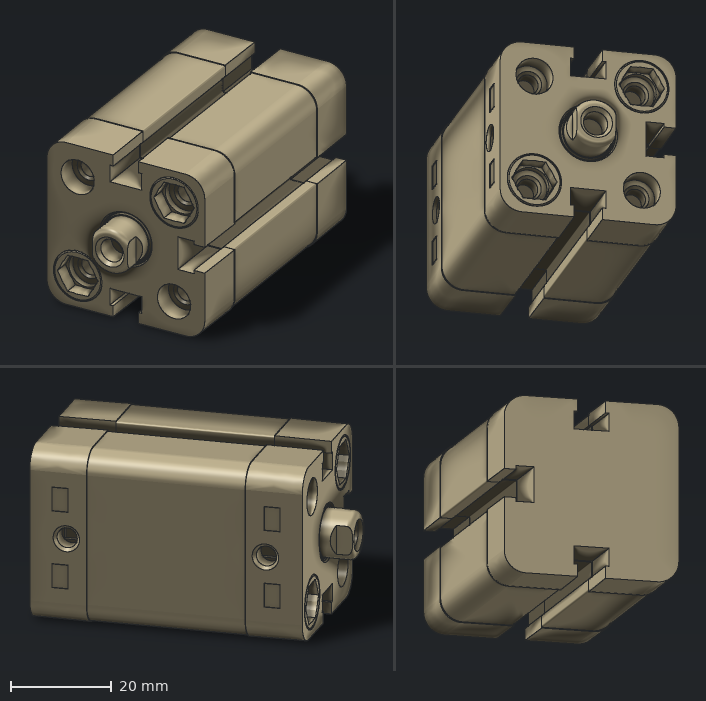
import cadquery as cq
import math


total_length = 62.6
rod_protrusion = 6.4
cap_length = 11.8
barrel_length = total_length - rod_protrusion - 2 * cap_length
barrel_rear_y = cap_length + barrel_length
rear_face_y = barrel_rear_y + cap_length

ORIGIN = (0, 0, 0)
INWARD = (0, 1, 0)

cap_side = 36.3
cap_end_side = 36.1
barrel_side = 36.0
corner_radius = 4.5
cap_draft_angle = math.degrees(math.atan((cap_side - cap_end_side) / 2 / cap_length))

slot_angles = (0, 90, 180)
slot_mouth_width = 5.75
slot_room_top = 15.6
cap_slot_room_width = 7.25
cap_slot_floor = 11.9
barrel_slot_room_width = 6.9
barrel_slot_floor = 12.1
barrel_slot_fillet = 0.2
barrel_slot_lip_radius = 0.4

corner_offset = 11.0
screw_places = ((corner_offset, corner_offset), (-corner_offset, -corner_offset))
plain_hole_places = ((-corner_offset, corner_offset), (corner_offset, -corner_offset))
screw_seat_diameter = 11.1
screw_face_diameter = 10.45
screw_rim_depth = 0.3
hex_across_flats = 8.0
hex_depth = 3.1
hex_relief_diameter = 8.2
socket_diameter = 7.6
socket_depth = 4.65
plain_hole_diameter = 7.6
plain_hole_depth = 4.4
thread_mouth_diameter = 5.25
thread_diameter = 4.15
thread_depth = 3.75

port_end_distance = 7.6
port_mouth_diameter = 5.5
port_depth = 4.0
passage_height = 2.9
passage_depth = 1.0
passage_inner_reach = 2.5
front_passage_outer_reach = 2.5
rear_passage_outer_reach = 1.5
label_end_distance = 6.25
label_length = 3.25
label_height = 4.95
label_offset = 8.0
label_depth = 0.2

rod_diameter = 10.0
rod_tip_radius = 1.25
rod_flat_width = 8.0
rod_flat_length = 3.4
rod_bore_mouth_diameter = 6.5
rod_bore_diameter = 4.95
rod_bore_depth = 5.0
opening_mouth_diameter = 12.0
opening_diameter = 11.4
opening_depth = 0.75
wiper_base_diameter = 10.9
wiper_top_diameter = 10.45
wiper_top_depth = 0.25


def cylinder(start, direction, diameter, depth):
    solid = cq.Solid.makeCylinder(diameter / 2, depth, cq.Vector(*start), cq.Vector(*direction))
    return cq.Workplane(solid)


def countersunk_hole(start, direction, mouth_diameter, diameter, depth):
    """Blind hole with a 45 degree cone at its mouth."""
    cone_depth = (mouth_diameter - diameter) / 2
    cone = cq.Solid.makeCone(
        mouth_diameter / 2, diameter / 2, cone_depth, cq.Vector(*start), cq.Vector(*direction)
    )
    return cylinder(start, direction, diameter, depth).union(cq.Workplane(cone))


def threaded_hole(x, y, z):
    return countersunk_hole((x, y, z), INWARD, thread_mouth_diameter, thread_diameter, thread_depth)


def ring_groove(profile):
    """Groove around the Y axis from (radius, depth) points, with its depth towards +Y."""
    return cq.Workplane("XY").polyline(profile).close().revolve(360, (0, 0, 0), (0, 1, 0))


def square_bar(length, side, draft_angle=0):
    """Rounded square bar from Y = 0 towards -Y, narrowing by the draft angle on every side."""
    outline = cq.Sketch().rect(side, side).vertices().fillet(corner_radius)
    return cq.Workplane("XZ").placeSketch(outline).extrude(length, taper=draft_angle)


def t_slot(room_width, floor, room_fillet=0):
    """T-shaped cutter through the +Z side, long enough for any of the bodies."""
    block = cq.Workplane("XZ", origin=(0, total_length, 0))
    room_middle = (slot_room_top + floor) / 2
    room = block.center(0, room_middle).rect(room_width, slot_room_top - floor).extrude(2 * total_length)
    if room_fillet:
        room = room.edges("|Y and <Z").fillet(room_fillet)
    mouth_top = cap_side / 2
    mouth_middle = (mouth_top + floor) / 2
    mouth = block.center(0, mouth_middle).rect(slot_mouth_width, mouth_top - floor).extrude(2 * total_length)
    return room.union(mouth)


def cut_slots(body, slot):
    for angle in slot_angles:
        body = body.cut(slot.rotate((0, 0, 0), (0, 1, 0), angle))
    return body


def screw_cutter():
    """Screw head flush with the face: a ring around its bevelled rim, a hex socket and a thread."""
    rim = ring_groove([
        (screw_face_diameter / 2, 0),
        (screw_seat_diameter / 2, 0),
        (screw_seat_diameter / 2, screw_rim_depth),
    ])
    corner_diameter = hex_across_flats / math.cos(math.pi / 6)
    hexagon = cq.Workplane("XZ").polygon(6, corner_diameter).extrude(-hex_depth)
    relief = cylinder(ORIGIN, INWARD, hex_relief_diameter, hex_depth)
    socket = cylinder(ORIGIN, INWARD, socket_diameter, socket_depth)
    return rim.union(hexagon).union(relief).union(socket).union(threaded_hole(0, socket_depth, 0))


def plain_hole_cutter():
    hole = cylinder(ORIGIN, INWARD, plain_hole_diameter, plain_hole_depth)
    return hole.union(threaded_hole(0, plain_hole_depth, 0))


def rod_opening():
    """Through hole for the rod, widened at the front around the lip of the wiper ring."""
    rod_radius = rod_diameter / 2
    mouth_bevel = (opening_mouth_diameter - opening_diameter) / 2
    groove = ring_groove([
        (rod_radius, 0),
        (opening_mouth_diameter / 2, 0),
        (opening_diameter / 2, mouth_bevel),
        (opening_diameter / 2, opening_depth),
        (wiper_base_diameter / 2, opening_depth),
        (wiper_top_diameter / 2, wiper_top_depth),
        (rod_radius, wiper_top_depth),
    ])
    return cylinder(ORIGIN, INWARD, rod_diameter, cap_length).union(groove)


def port_cutter(passage_outer_reach):
    """Air port and label recesses on the -X side of a cap whose free end is at Y = 0."""
    side_x = -cap_side / 2
    port = countersunk_hole(
        (side_x, port_end_distance, 0), (1, 0, 0), port_mouth_diameter, thread_diameter, port_depth
    )
    passage = cq.Workplane("XY").box(
        passage_depth, passage_outer_reach + passage_inner_reach, passage_height, centered=(False, False, True)
    )
    passage = passage.translate((side_x + port_depth, port_end_distance - passage_outer_reach, 0))
    cutter = port.union(passage)
    draft_setback = (cap_side - cap_end_side) / 2 * (1 - label_end_distance / cap_length)
    label_side_x = side_x + draft_setback
    for label_z in (-label_offset, label_offset):
        label = cq.Workplane("XY").box(2 * label_depth, label_length, label_height)
        cutter = cutter.union(label.translate((label_side_x, label_end_distance, label_z)))
    return cutter


def make_blank_cap():
    """Cap with its free end at Y = 0 and its joint face towards +Y."""
    bar = square_bar(cap_length, cap_side, cap_draft_angle).translate((0, cap_length, 0))
    return cut_slots(bar, t_slot(cap_slot_room_width, cap_slot_floor))


def make_front_cap():
    cap = make_blank_cap()
    for x, z in screw_places:
        cap = cap.cut(screw_cutter().translate((x, 0, z)))
    for x, z in plain_hole_places:
        cap = cap.cut(plain_hole_cutter().translate((x, 0, z)))
    return cap.cut(rod_opening()).cut(port_cutter(front_passage_outer_reach))


def make_rear_cap():
    cap = make_blank_cap().cut(port_cutter(rear_passage_outer_reach))
    return cap.mirror("XZ").translate((0, rear_face_y, 0))


def make_barrel():
    bar = square_bar(barrel_length, barrel_side).translate((0, barrel_rear_y, 0))
    slot = t_slot(barrel_slot_room_width, barrel_slot_floor, barrel_slot_fillet)
    return cut_slots(bar, slot.union(slot_lip_rounding()))


def slot_lip_rounding():
    """Flared cutter that rounds both edges of the slot mouth on the +Z side of the barrel."""
    top = barrel_side / 2
    bottom = top - barrel_slot_lip_radius
    inner_half = slot_mouth_width / 2
    outer_half = inner_half + barrel_slot_lip_radius
    arc_inset = barrel_slot_lip_radius * math.sin(math.pi / 4)
    arc_half = outer_half - arc_inset
    arc_height = bottom + arc_inset
    flare = (
        cq.Workplane("XZ", origin=(0, total_length, 0))
        .moveTo(-inner_half, bottom)
        .lineTo(inner_half, bottom)
        .threePointArc((arc_half, arc_height), (outer_half, top))
        .lineTo(-outer_half, top)
        .threePointArc((-arc_half, arc_height), (-inner_half, bottom))
    )
    return flare.close().extrude(2 * total_length)


def make_rod():
    length = rod_protrusion + cap_length
    tip = (0, -rod_protrusion, 0)
    rod = cylinder(tip, INWARD, rod_diameter, length).faces("<Y").edges().fillet(rod_tip_radius)
    rod_radius = rod_diameter / 2
    flat_x = rod_flat_width / 2
    flat_end_y = rod_flat_length - rod_protrusion
    flat_cut = cq.Workplane("XY", origin=(0, 0, -rod_radius)).polyline([
        (flat_x, -rod_protrusion),
        (flat_x, flat_end_y),
        (rod_radius, flat_end_y + rod_radius - flat_x),
        (rod_radius, -rod_protrusion),
    ]).close().extrude(rod_diameter)
    rod = rod.cut(flat_cut).cut(flat_cut.mirror("YZ"))
    return rod.cut(countersunk_hole(tip, INWARD, rod_bore_mouth_diameter, rod_bore_diameter, rod_bore_depth))


front_cap = make_front_cap()
rear_cap = make_rear_cap()
barrel = make_barrel()
rod = make_rod()

result = cq.Compound.makeCompound([front_cap.val(), barrel.val(), rear_cap.val(), rod.val()])